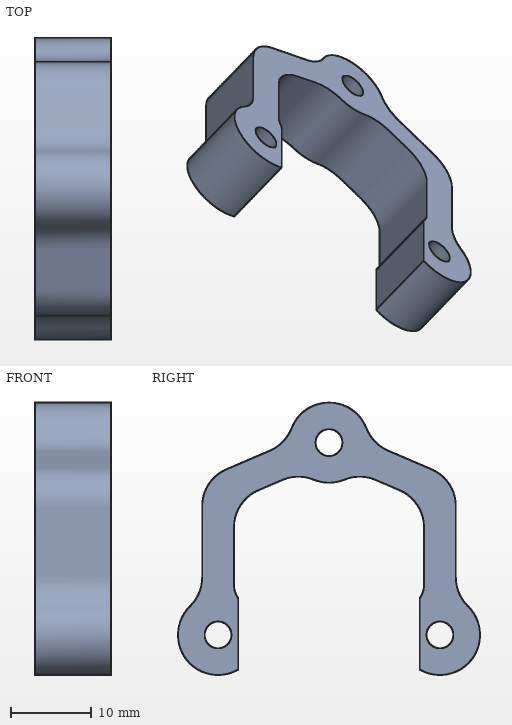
import cadquery as cq
import math

depth = 9.5
overall_width = 37.7
overall_height = 34.0
boss_radius = 5.0
hole_diameter = 3.3
band_thickness = 4.0
leg_outer_y = 15.85
roof_angle = math.radians(23.2)
blend_radius = 5.0
inner_foot_blend_radius = 3.0
opening_half_width = 11.3

foot_y = overall_width / 2 - boss_radius
foot_z = 0.0
crown_z = overall_height - 2 * boss_radius
boss_centers = [(-foot_y, foot_z), (foot_y, foot_z), (0.0, crown_z)]

leg_inner_y = leg_outer_y - band_thickness
apex_offset = band_thickness / 2 / math.cos(roof_angle)


def roof_height(y, apex_z):
    """Height of a roof line at distance y from the symmetry plane."""
    return apex_z - y * math.tan(roof_angle)


def gable(half_width, apex_z):
    """House-shaped prism with its two eave edges rounded."""
    eave_z = roof_height(half_width, apex_z)
    outline = [
        (-half_width, foot_z),
        (half_width, foot_z),
        (half_width, eave_z),
        (0.0, apex_z),
        (-half_width, eave_z),
    ]
    prism = cq.Workplane("YZ").polyline(outline).close().extrude(depth)
    for side in (-1, 1):
        eave = cq.selectors.NearestToPointSelector((depth / 2, side * half_width, eave_z))
        prism = prism.edges(eave).fillet(blend_radius)
    return prism


band = gable(leg_outer_y, crown_z + apex_offset).cut(gable(leg_inner_y, crown_z - apex_offset))

bosses = cq.Workplane("YZ").pushPoints(boss_centers).circle(boss_radius).extrude(depth)
body = band.union(bosses)


def foot_blend_point(side, wall_y):
    """Where a leg wall meets the top of its foot boss."""
    rise = math.sqrt(boss_radius**2 - (wall_y - foot_y) ** 2)
    return (depth / 2, side * wall_y, foot_z + rise)


def crown_blend_point(side, direction):
    """Where the outer (+1) or inner (-1) roof face meets the crown boss."""
    reach = math.sqrt(boss_radius**2 - (band_thickness / 2) ** 2)
    offset = direction * band_thickness / 2
    y = reach * math.cos(roof_angle) + offset * math.sin(roof_angle)
    z = crown_z - reach * math.sin(roof_angle) + offset * math.cos(roof_angle)
    return (depth / 2, side * y, z)


for side in (-1, 1):
    corners = [
        (foot_blend_point(side, leg_outer_y), blend_radius),
        (foot_blend_point(side, leg_inner_y), inner_foot_blend_radius),
        (crown_blend_point(side, 1), blend_radius),
        (crown_blend_point(side, -1), blend_radius),
    ]
    for corner, radius in corners:
        body = body.edges(cq.selectors.NearestToPointSelector(corner)).fillet(radius)

opening_height = crown_z / 2
opening = (
    cq.Workplane("XY", origin=(depth / 2, 0, foot_z - boss_radius))
    .rect(depth, 2 * opening_half_width)
    .extrude(boss_radius + opening_height)
)
body = body.cut(opening)

holes = cq.Workplane("YZ").pushPoints(boss_centers).circle(hole_diameter / 2).extrude(depth)
result = body.cut(holes)